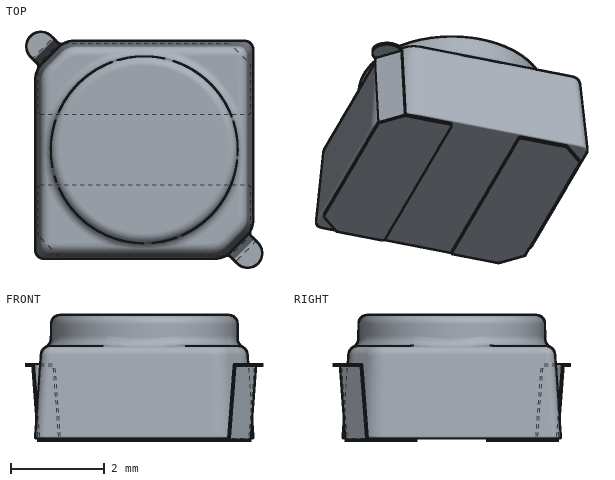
import cadquery as cq
import math

TOTAL_SIDE = 5.06
TOTAL_HEIGHT = 2.7
SHEET = 0.05

BASE_HALF = 2.345
CORNER_CUT = 0.645
DRAFT_ANGLE = 4.0
SHOULDER_HEIGHT = 2.035
SQUARE_CORNER_RADIUS = 0.2
CUT_CORNER_RADIUS = 0.5
SHOULDER_RADIUS = 0.2
BASE_RADIUS = 0.04
DOME_RADIUS = 2.005
DOME_TOP_RADIUS = 0.2
DOME_FOOT_RADIUS = 0.2

PAD_HALF_LENGTH = 2.275
PAD_INNER_EDGE = 0.76
PAD_CORNER_CUT = 0.445
PAD_CORNER_RADIUS = 0.05
TAB_TOP = 1.65
ARM_LEAN = 0.17
BEND_RADIUS = SHEET

ARM_WIDTH = PAD_CORNER_CUT * math.sqrt(2)
ARM_FOOT_REACH = (2 * PAD_HALF_LENGTH - PAD_CORNER_CUT) / math.sqrt(2)
ARM_HEAD_REACH = ARM_FOOT_REACH + ARM_LEAN
TAB_RADIUS = ARM_WIDTH / 2
TAB_CENTER_REACH = (TOTAL_SIDE / 2 - TAB_RADIUS) * math.sqrt(2)
DIAGONAL_ANGLE = -45.0


def make_block():
    half = BASE_HALF
    cut = BASE_HALF - CORNER_CUT
    outline = [(-half, -half), (cut, -half), (half, -cut), (half, half), (-cut, half), (-half, cut)]
    block = (
        cq.Workplane("XY", origin=(0, 0, SHEET))
        .polyline(outline)
        .close()
        .extrude(SHOULDER_HEIGHT - SHEET, taper=DRAFT_ANGLE)
    )
    square_corners = block.edges("not #Z").filter(lambda edge: edge.Center().x * edge.Center().y > 0)
    block = square_corners.fillet(SQUARE_CORNER_RADIUS)
    cut_corners = block.edges("not #Z").filter(lambda edge: edge.Center().x * edge.Center().y < 0)
    block = cut_corners.fillet(CUT_CORNER_RADIUS)
    block = block.faces(">Z").edges().fillet(SHOULDER_RADIUS)
    return block.faces("<Z").edges().fillet(BASE_RADIUS)


def make_housing():
    dome_height = TOTAL_HEIGHT - SHOULDER_HEIGHT
    dome = cq.Workplane("XY", origin=(0, 0, SHOULDER_HEIGHT)).circle(DOME_RADIUS).extrude(dome_height)
    dome = dome.faces(">Z").edges().fillet(DOME_TOP_RADIUS)
    housing = make_block().union(dome)
    dome_foot = housing.edges("%CIRCLE").filter(
        lambda edge: edge.IsClosed() and edge.Center().z < TOTAL_HEIGHT - dome_height / 2
    )
    return dome_foot.fillet(DOME_FOOT_RADIUS)


def make_pad():
    length = 2 * PAD_HALF_LENGTH
    width = PAD_HALF_LENGTH - PAD_INNER_EDGE
    center_y = -(PAD_HALF_LENGTH + PAD_INNER_EDGE) / 2
    pad = cq.Workplane("XY").center(0, center_y).rect(length, width).extrude(SHEET)
    pad = pad.edges("|Z and <Y").chamfer(PAD_CORNER_CUT)
    free_corners = pad.edges("|Z").filter(
        lambda edge: edge.Center().x < 0 or edge.Center().y > center_y
    )
    return free_corners.fillet(PAD_CORNER_RADIUS)


def make_arm():
    tab_bottom = TAB_TOP - SHEET
    pad_overlap = PAD_CORNER_CUT / 2
    profile = [
        (ARM_FOOT_REACH - pad_overlap, 0),
        (ARM_FOOT_REACH, 0),
        (ARM_HEAD_REACH, tab_bottom),
        (TAB_CENTER_REACH, tab_bottom),
        (TAB_CENTER_REACH, TAB_TOP),
        (ARM_HEAD_REACH - SHEET, TAB_TOP),
        (ARM_FOOT_REACH - SHEET, SHEET),
        (ARM_FOOT_REACH - pad_overlap, SHEET),
    ]
    arm = cq.Workplane("XZ").polyline(profile).close().extrude(ARM_WIDTH / 2, both=True)
    foot_bend = arm.edges(cq.selectors.NearestToPointSelector((ARM_FOOT_REACH, 0, 0)))
    arm = foot_bend.fillet(BEND_RADIUS)
    head_bend = arm.edges(cq.selectors.NearestToPointSelector((ARM_HEAD_REACH - SHEET, 0, TAB_TOP)))
    arm = head_bend.fillet(BEND_RADIUS)
    tab_end = (
        cq.Workplane("XY", origin=(TAB_CENTER_REACH, 0, tab_bottom))
        .moveTo(0, -TAB_RADIUS)
        .threePointArc((TAB_RADIUS, 0), (0, TAB_RADIUS))
        .close()
        .extrude(SHEET)
    )
    return arm.union(tab_end).rotate((0, 0, 0), (0, 0, 1), DIAGONAL_ANGLE)


def make_terminal(angle):
    return make_pad().union(make_arm()).rotate((0, 0, 0), (0, 0, 1), angle)


housing = make_housing().solids()
terminals = [make_terminal(angle).solids() for angle in (0, 180)]
result = cq.Compound.makeCompound([housing.val(), *[terminal.val() for terminal in terminals]])